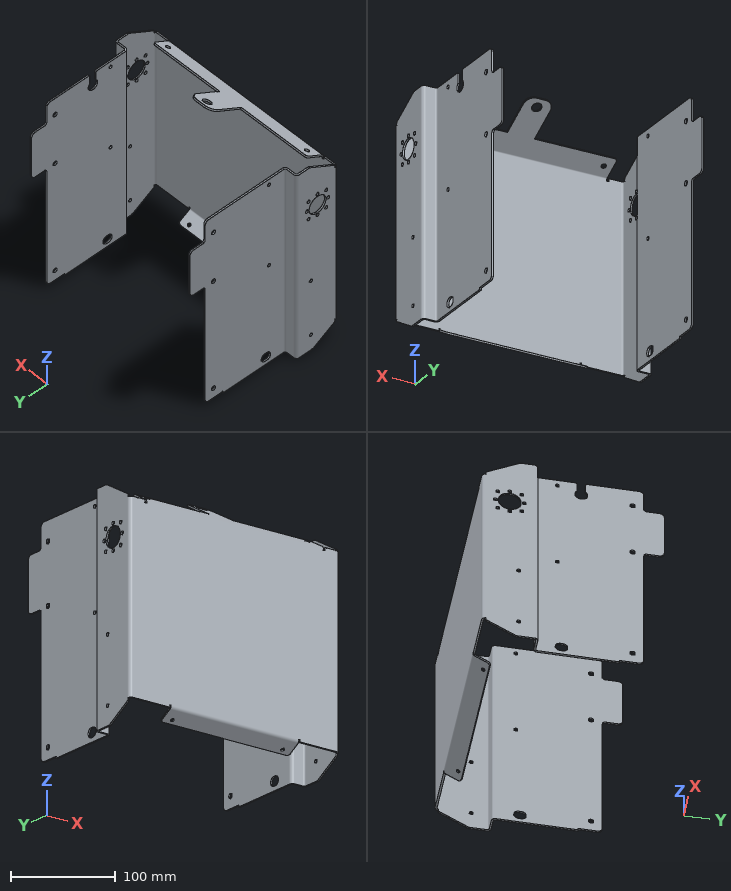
import cadquery as cq
import math

sheet = 2.0
inside_bend = 1.75
outside_bend = inside_bend + sheet
width = 253.0
depth = 180.0
side_height = 246.5

rear_wall_half_width = 111.0
jog_y = 54.7

back_y = 160.0
front_bottom = 19.5
front_top = 224.3
bottom_slope_start = 19.0
top_slope_start = 225.0
slope_angle = math.radians(30)
tab_bottom = 158.5
tab_top = 219.0
outer_corner_radius = 5.0
inner_corner_radius = 3.0
foot_y = 136.5
foot_height = 2.0

large_hole_diameter = 5.0
small_hole_diameter = 3.5
large_hole_places = [(149, 224.7), (149, 159), (149, 15)]
small_hole_places = [(76, 239), (76, 130.7), (35.5, 93.2), (35.5, 20.7)]
port_center = (26.9, 190.0)
port_diameter = 22.1
port_cross_radius = 14.0
port_diagonal_radius = 16.5
port_ring_count = 4
oblong_center = (80.0, 10.0)
oblong_length = 12.0
oblong_width = 10.0

keyhole_y = 99.2
keyhole_depth = 16.0
keyhole_diameter = 12.0
keyhole_slot_width = 8.0
keyhole_mouth_radius = 2.0

flange_corner_radius = 3.0
top_bend_z = 222.3
top_flange_width = 213.0
top_flange_length = 23.0
top_slit_width = 2.0
top_slit_bottom = 221.3
top_hole_spacing = 193.0
top_hole_distance = 12.0
tongue_width = 30.0
tongue_length = 68.0
tongue_corner_radius = 10.0
tongue_hole_diameter = 10.0
tongue_hole_distance = 58.0
bottom_bend_z = 21.5
bottom_flange_width = 154.5
bottom_flange_length = 17.0
bottom_slit_width = 1.0
bottom_slit_top = 22.0
bottom_hole_spacing = 133.0
bottom_hole_distance = 11.7


def round_edge(body, point, radius):
    """Fillet the edge whose middle is nearest to a point."""
    return body.edges(cq.selectors.NearestToPointSelector(point)).fillet(radius)


def hat_shell():
    """Full-height bent sheet, open at the back, top and bottom."""
    half_plan = [
        (0, 0),
        (width / 2, 0),
        (width / 2, jog_y),
        (rear_wall_half_width, jog_y),
        (rear_wall_half_width, depth),
        (0, depth),
    ]
    half = cq.Workplane("XY").polyline(half_plan).close().extrude(side_height)
    body = half.union(half.mirror("YZ")).clean()
    for x in (-width / 2, width / 2):
        for y in (0, jog_y):
            body = round_edge(body, (x, y, side_height / 2), outside_bend)
    for x in (-rear_wall_half_width, rear_wall_half_width):
        body = round_edge(body, (x, jog_y, side_height / 2), inside_bend)
    return body.faces(">Z or <Z or >Y").shell(-sheet)


def prism_along_x(profile):
    """Extrude an outline drawn in YZ across the whole part."""
    return profile.extrude(width, both=True)


def round_corners(body, places, radius):
    """Round the X-running edges of a side prism at the given (y, z) corners."""
    for y, z in places:
        body = round_edge(body, (0, y, z), radius)
    return body


def side_prism():
    """Side outline of the panels, extruded across the part."""
    slope = math.tan(slope_angle)
    top_slope_y = (side_height - top_slope_start) / slope
    bottom_slope_y = bottom_slope_start / slope
    bend_rise = outside_bend * slope
    outline = [
        (0, front_bottom),
        (outside_bend, front_bottom),
        (outside_bend, bottom_slope_start - bend_rise),
        (bottom_slope_y, 0),
        (foot_y, 0),
        (foot_y, foot_height),
        (back_y, foot_height),
        (back_y, tab_bottom),
        (depth, tab_bottom),
        (depth, tab_top),
        (back_y, tab_top),
        (back_y, side_height),
        (top_slope_y, side_height),
        (outside_bend, top_slope_start + bend_rise),
        (outside_bend, front_top),
        (0, front_top),
    ]
    body = prism_along_x(cq.Workplane("YZ").polyline(outline).close())
    outer_corners = [(back_y, foot_height), (depth, tab_bottom), (depth, tab_top), (back_y, side_height)]
    inner_corners = [(back_y, tab_bottom), (back_y, tab_top)]
    body = round_corners(body, outer_corners, outer_corner_radius)
    return round_corners(body, inner_corners, inner_corner_radius)


def side_holes():
    """Cutters for the holes that go through both side panels."""
    plane = cq.Workplane("YZ")
    large = prism_along_x(plane.pushPoints(large_hole_places).circle(large_hole_diameter / 2))
    small = prism_along_x(plane.pushPoints(small_hole_places).circle(small_hole_diameter / 2))
    oblong = prism_along_x(plane.center(*oblong_center).slot2D(oblong_length, oblong_width))
    port_plane = plane.center(*port_center)
    port = prism_along_x(port_plane.circle(port_diameter / 2))
    cross_places = port_plane.polarArray(port_cross_radius, 0, 360, port_ring_count)
    cross = prism_along_x(cross_places.circle(small_hole_diameter / 2))
    half_step = 180 / port_ring_count
    diagonal_places = port_plane.polarArray(port_diagonal_radius, half_step, 360, port_ring_count)
    diagonal = prism_along_x(diagonal_places.circle(small_hole_diameter / 2))
    return [large, small, oblong, port, cross, diagonal]


def keyhole():
    """Cutter for the keyhole notch: round seat, narrower slot and flared mouth."""
    seat_z = side_height - keyhole_depth
    half_slot = keyhole_slot_width / 2
    half_mouth = half_slot + keyhole_mouth_radius
    mouth_z = side_height - keyhole_mouth_radius
    plane = cq.Workplane("YZ").center(keyhole_y, 0)
    seat = plane.center(0, seat_z).circle(keyhole_diameter / 2).extrude(width)
    slot = (
        plane.moveTo(-half_slot, seat_z)
        .lineTo(half_slot, seat_z)
        .lineTo(half_slot, mouth_z)
        .radiusArc((half_mouth, side_height), keyhole_mouth_radius)
        .lineTo(-half_mouth, side_height)
        .radiusArc((-half_slot, mouth_z), keyhole_mouth_radius)
        .close()
        .extrude(width)
    )
    return seat.union(slot)


def front_block(x_size, x_center, z_start, z_end):
    """Cutter through the front plate only."""
    y_size = 2 * outside_bend
    return cq.Workplane("XY").box(x_size, y_size, abs(z_end - z_start)).translate(
        (x_center, 0, (z_start + z_end) / 2)
    )


def clear_flange_room(body, flange_width, slit_width, bend_z, slit_end, outer_z):
    """Trim the front plate back to a bend line and cut a relief slit at each end of it."""
    body = body.cut(front_block(flange_width, 0, bend_z, outer_z))
    for side in (-1, 1):
        slit_x = side * (flange_width + slit_width) / 2
        body = body.cut(front_block(slit_width, slit_x, slit_end, outer_z))
    return body


def flange_plane(bend_z):
    """Plane on the outer face of an upward flange, starting where its bend ends."""
    bend_angle = math.pi / 2 - slope_angle
    start_y = outside_bend * (1 - math.cos(bend_angle))
    start_z = bend_z + outside_bend * math.sin(bend_angle)
    normal = (0, -math.sin(slope_angle), math.cos(slope_angle))
    return cq.Workplane(cq.Plane(origin=(0, start_y, start_z), xDir=(1, 0, 0), normal=normal))


def rounded_leaf(plane, leaf_width, length, radius):
    """Flat leaf running up the slope with its two free corners rounded."""
    half = leaf_width / 2
    return (
        plane.moveTo(-half, 0)
        .lineTo(half, 0)
        .lineTo(half, length - radius)
        .radiusArc((half - radius, length), -radius)
        .lineTo(-half + radius, length)
        .radiusArc((-half, length - radius), -radius)
        .close()
        .extrude(-sheet)
    )


def flange(bend_z, flange_width, length, hole_spacing, hole_distance, hole_diameter):
    """Upward flange: bend out of the front plate plus a sloped leaf with two holes."""
    bend_degrees = 90 - math.degrees(slope_angle)
    bend_axis_y = outside_bend - sheet / 2
    bend = (
        cq.Workplane("XY", origin=(0, sheet / 2, bend_z))
        .rect(flange_width, sheet)
        .revolve(bend_degrees, (1, bend_axis_y), (0, bend_axis_y))
    )
    plane = flange_plane(bend_z)
    leaf = rounded_leaf(plane, flange_width, length, flange_corner_radius)
    hole_places = [(-hole_spacing / 2, hole_distance), (hole_spacing / 2, hole_distance)]
    holes = plane.pushPoints(hole_places).circle(hole_diameter / 2).extrude(-sheet)
    return bend.union(leaf).cut(holes)


def tongue():
    """Lifting tongue that extends the middle of the top flange."""
    plane = flange_plane(top_bend_z)
    leaf = rounded_leaf(plane, tongue_width, tongue_length, tongue_corner_radius)
    hole = plane.center(0, tongue_hole_distance).circle(tongue_hole_diameter / 2).extrude(-sheet)
    return leaf.cut(hole)


body = hat_shell().intersect(side_prism())
for cutter in side_holes():
    body = body.cut(cutter)
body = body.cut(keyhole())
body = clear_flange_room(body, top_flange_width, top_slit_width, top_bend_z, top_slit_bottom, side_height)
body = clear_flange_room(body, bottom_flange_width, bottom_slit_width, bottom_bend_z, bottom_slit_top, 0)

top_flange = flange(
    top_bend_z, top_flange_width, top_flange_length,
    top_hole_spacing, top_hole_distance, large_hole_diameter,
)
bottom_flange = flange(
    -bottom_bend_z, bottom_flange_width, bottom_flange_length,
    bottom_hole_spacing, bottom_hole_distance, small_hole_diameter,
).mirror("XY")

result = body.union(top_flange).union(tongue()).union(bottom_flange)